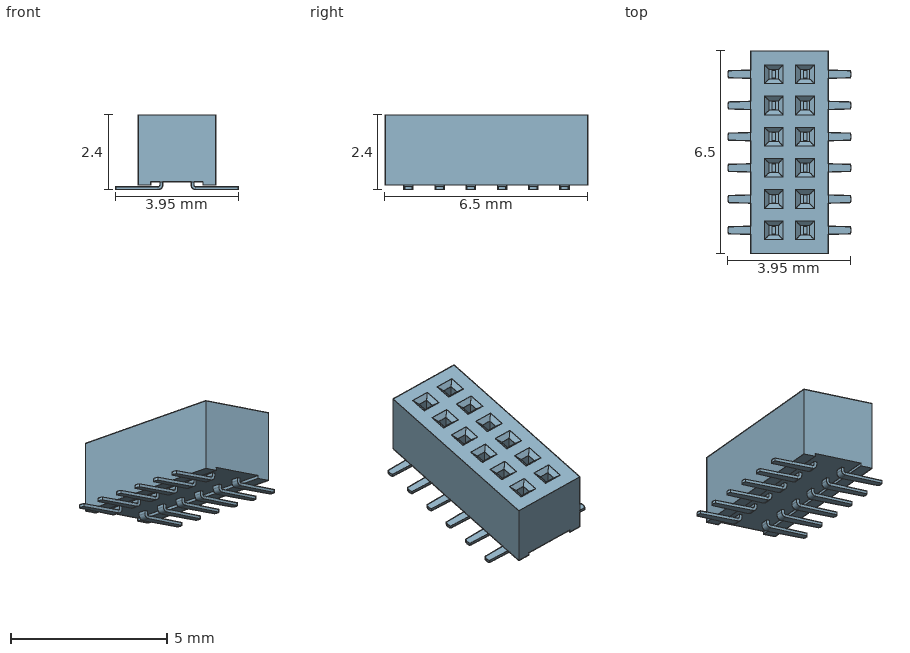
import cadquery as cq
import math


LENGTH = 6.5
WIDTH = 2.495
TOP_Z = 2.4
STANDOFF = 0.15
FOOT_WIDTH = 0.415
FOOT_HEIGHT = 0.1
channel_top_z = STANDOFF + FOOT_HEIGHT

ROWS = 6
END_MARGIN = 0.75
pitch = LENGTH / (ROWS - 1 + 2 * END_MARGIN)
column_x = pitch / 2
row_positions = [(i - (ROWS - 1) / 2) * pitch for i in range(ROWS)]

MOUTH_SIZE = 0.6
BORE_SIZE = 0.3
BLADE_DEPTH = 0.65
SLOT_DEPTH = 1.3
SLOT_WIDTH = 0.11
BASE_LENGTH = 0.255
BASE_STEP = 0.1
lead_in_depth = (MOUTH_SIZE - BORE_SIZE) / 2

LEAD_SPAN = 3.95
LEAD_THICKNESS = 0.1
LEAD_WIDTH = 0.305
TIP_WIDTH = 0.235
TIP_BULGE = 0.025
INNER_BEND_RADIUS = 0.05
STEM_EMBED = 0.13
outer_bend_radius = INNER_BEND_RADIUS + LEAD_THICKNESS
stem_inner_x = column_x - LEAD_THICKNESS / 2
bend_x = stem_inner_x + outer_bend_radius
stem_top_z = channel_top_z + STEM_EMBED
tip_x = LEAD_SPAN / 2


def make_housing():
    """Plain block with a lengthwise channel underneath, leaving two feet."""
    block = cq.Workplane("XY").workplane(offset=STANDOFF).rect(WIDTH, LENGTH).extrude(TOP_Z - STANDOFF)
    channel_width = WIDTH - 2 * FOOT_WIDTH
    channel = cq.Workplane("XY").workplane(offset=STANDOFF).rect(channel_width, LENGTH).extrude(FOOT_HEIGHT)
    return block.cut(channel)


def prism_below_top(size_x, size_y, start_depth, end_depth):
    """Rectangular prism between two depths below the housing top."""
    return (
        cq.Workplane("XY")
        .workplane(offset=TOP_Z - start_depth)
        .rect(size_x, size_y)
        .extrude(start_depth - end_depth)
    )


def make_socket():
    """Void of one socket: tapered mouth, square bore and slot between the blades."""
    mouth = (
        cq.Workplane("XY")
        .workplane(offset=TOP_Z)
        .rect(MOUTH_SIZE, MOUTH_SIZE)
        .workplane(offset=-lead_in_depth)
        .rect(BORE_SIZE, BORE_SIZE)
        .loft(ruled=True)
    )
    bore = prism_below_top(BORE_SIZE, BORE_SIZE, lead_in_depth, BLADE_DEPTH)
    slot_bottom = SLOT_DEPTH + BASE_STEP
    slot = prism_below_top(SLOT_WIDTH, BORE_SIZE, BLADE_DEPTH, slot_bottom)
    base = prism_below_top(SLOT_WIDTH, BASE_LENGTH, SLOT_DEPTH, slot_bottom)
    return mouth.union(bore).union(slot.cut(base))


def make_lead():
    """Gull-wing lead on the +X side: bent strip trimmed to a tapered, rounded foot."""
    diagonal = math.sqrt(0.5)
    bend_z = outer_bend_radius
    strip = (
        cq.Workplane("XZ")
        .moveTo(stem_inner_x, stem_top_z)
        .lineTo(stem_inner_x, bend_z)
        .threePointArc(
            (bend_x - outer_bend_radius * diagonal, bend_z - outer_bend_radius * diagonal),
            (bend_x, 0),
        )
        .lineTo(tip_x, 0)
        .lineTo(tip_x, LEAD_THICKNESS)
        .lineTo(bend_x, LEAD_THICKNESS)
        .threePointArc(
            (bend_x - INNER_BEND_RADIUS * diagonal, bend_z - INNER_BEND_RADIUS * diagonal),
            (bend_x - INNER_BEND_RADIUS, bend_z),
        )
        .lineTo(stem_inner_x + LEAD_THICKNESS, stem_top_z)
        .close()
        .extrude(LEAD_WIDTH / 2, both=True)
    )
    plan = (
        cq.Workplane("XY")
        .moveTo(stem_inner_x, -LEAD_WIDTH / 2)
        .lineTo(bend_x, -LEAD_WIDTH / 2)
        .lineTo(tip_x - TIP_BULGE, -TIP_WIDTH / 2)
        .threePointArc((tip_x, 0), (tip_x - TIP_BULGE, TIP_WIDTH / 2))
        .lineTo(bend_x, LEAD_WIDTH / 2)
        .lineTo(stem_inner_x, LEAD_WIDTH / 2)
        .close()
        .extrude(stem_top_z)
    )
    return strip.intersect(plan)


socket = make_socket()
right_lead = make_lead()
left_lead = right_lead.mirror("YZ")

result = make_housing()
for y in row_positions:
    for x, lead in ((-column_x, left_lead), (column_x, right_lead)):
        result = result.cut(socket.translate((x, y, 0)))
        result = result.union(lead.translate((0, y, 0)))